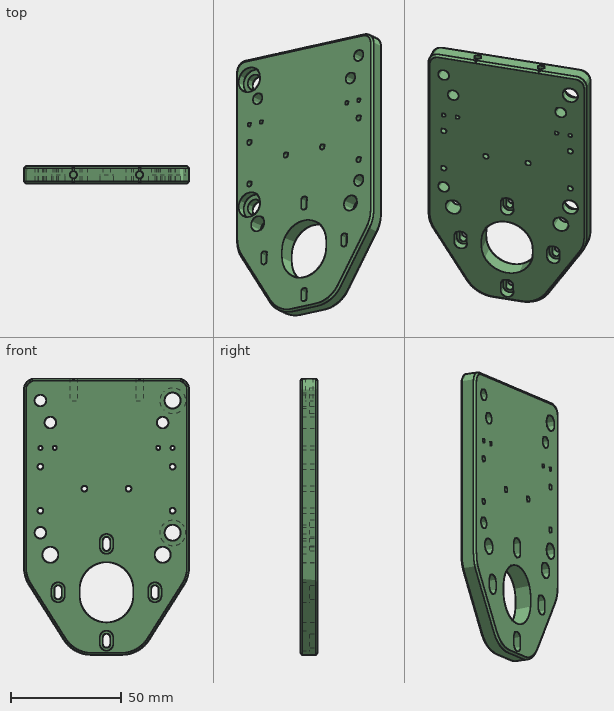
import cadquery as cq

width = 75.0
thickness = 8.0
height = 125.5
top_z = height / 2
bottom_z = -height / 2
front_y = -thickness / 2

taper_start = 90.0
bottom_width = 30.0
top_corner_radius = 5.0
taper_corner_radius = 14.9
edge_chamfer = 1.0

outer_column = 30.0
grid = outer_column / 3
inner_column = 25.5
pin_inner_column = 23.5
pin_row = 31.5
clearance_diameter = 5.1
large_diameter = 7.2
counterbore_diameter = 11.7
counterbore_depth = thickness / 2
screw_diameter = 2.5
pin_diameter = 1.8

motor_drop = 97.0
bolt_circle_radius = 22.0
travel = 3.0
bore_diameter = 24.2
slot_diameter = 3.3
slot_recess_diameter = 6.0
slot_recess_depth = thickness / 2

edge_hole_spacing = grid * 3
edge_hole_diameter = 3.3
edge_hole_depth = 10.0
groove_diameter = 0.9


def make_plate():
    half_width = width / 2
    half_bottom = bottom_width / 2
    taper_z = top_z - taper_start
    outline = [
        (-half_width, top_z),
        (half_width, top_z),
        (half_width, taper_z),
        (half_bottom, bottom_z),
        (-half_bottom, bottom_z),
        (-half_width, taper_z),
    ]
    plate = cq.Workplane("XZ", origin=(0, -front_y, 0)).polyline(outline).close().extrude(thickness)
    plate = plate.edges("|Y").edges(">>Z[1]").fillet(taper_corner_radius)
    plate = plate.edges("|Y").edges(">Z").fillet(top_corner_radius)
    plate = plate.edges("|Y").edges("<Z").fillet(taper_corner_radius)
    return plate.faces("<Y or >Y").edges().chamfer(edge_chamfer)


def front_plane(depth=0.0):
    """Sketch plane parallel to the front face, `depth` behind it; extrusion goes toward -Y."""
    return cq.Workplane("XZ", origin=(0, front_y + depth, 0))


def round_cut(points, diameter, start=0.0, end=thickness):
    """Cylinders along Y between two depths; points are (x, distance below the top edge)."""
    centers = [(x, top_z - drop) for x, drop in points]
    return front_plane(end).pushPoints(centers).circle(diameter / 2).extrude(end - start)


def slot_cut(points, diameter, end=thickness):
    """Slots stretched along Z by the travel, from the front face to the given depth."""
    centers = [(x, top_z - drop) for x, drop in points]
    return front_plane(end).pushPoints(centers).slot2D(diameter + travel, diameter, 90).extrude(end)


def mirrored(x, *drops):
    """The same rows on the left and the right of the centre line."""
    return [(side * x, drop) for side in (-1, 1) for drop in drops]


def cut_face_holes(plate):
    """Round holes through the face; the large right-hand corner holes are counterbored from the back."""
    left_corners = [(-outer_column, grid), (-outer_column, 7 * grid)]
    right_corners = [(outer_column, grid), (outer_column, 7 * grid)]
    clearance_holes = left_corners + mirrored(inner_column, 2 * grid)
    large_holes = right_corners + mirrored(inner_column, 8 * grid)
    screw_holes = mirrored(outer_column, 4 * grid, 6 * grid) + mirrored(grid, 5 * grid)
    pin_holes = mirrored(outer_column, pin_row) + mirrored(pin_inner_column, pin_row)

    plate = plate.cut(round_cut(clearance_holes, clearance_diameter))
    plate = plate.cut(round_cut(large_holes, large_diameter))
    plate = plate.cut(round_cut(screw_holes, screw_diameter))
    plate = plate.cut(round_cut(pin_holes, pin_diameter))
    counterbore_start = thickness - counterbore_depth
    return plate.cut(round_cut(right_corners, counterbore_diameter, start=counterbore_start))


def cut_motor_mount(plate):
    """Stretched motor bore, with four recessed screw slots around it."""
    slots = [
        (0, motor_drop - bolt_circle_radius),
        (0, motor_drop + bolt_circle_radius),
        (-bolt_circle_radius, motor_drop),
        (bolt_circle_radius, motor_drop),
    ]
    plate = plate.cut(slot_cut([(0, motor_drop)], bore_diameter))
    plate = plate.cut(slot_cut(slots, slot_diameter))
    return plate.cut(slot_cut(slots, slot_recess_diameter, slot_recess_depth))


def cut_edge_hole(plate, x):
    """Blind hole down from the top edge, with a groove along Y across its mouth."""
    hole_bottom = cq.Workplane("XY", origin=(x, 0, top_z - edge_hole_depth))
    hole = hole_bottom.circle(edge_hole_diameter / 2).extrude(edge_hole_depth)
    groove = front_plane(thickness).center(x, top_z).circle(groove_diameter / 2).extrude(thickness)
    return plate.cut(hole).cut(groove)


result = make_plate()
result = cut_face_holes(result)
result = cut_motor_mount(result)
for edge_hole_x in (-edge_hole_spacing / 2, edge_hole_spacing / 2):
    result = cut_edge_hole(result, edge_hole_x)